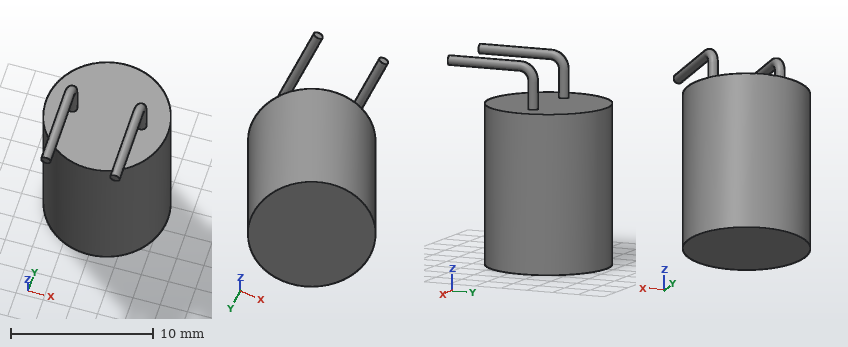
import cadquery as cq

body_diameter = 9.0
body_height = 11.5

lead_diameter = 0.7
lead_pitch = 5.08
lead_rise = 2.0
bend_radius = 1.0
lead_reach = 6.5

bend_end_z = body_height + lead_rise + bend_radius


def make_body():
    return cq.Workplane("XY").circle(body_diameter / 2).extrude(body_height)


def make_lead(x):
    """One lead: vertical stretch, quarter-circle bend, horizontal stretch."""
    rise = (
        cq.Workplane("XY", origin=(x, 0, body_height))
        .circle(lead_diameter / 2)
        .extrude(lead_rise)
    )
    bend = (
        cq.Workplane("XY", origin=(x, 0, body_height + lead_rise))
        .circle(lead_diameter / 2)
        .revolve(90, (0, -bend_radius, 0), (1, -bend_radius, 0))
    )
    reach = (
        cq.Workplane("XZ", origin=(x, -bend_radius, bend_end_z))
        .circle(lead_diameter / 2)
        .extrude(lead_reach - bend_radius)
    )
    return rise.union(bend).union(reach)


result = make_body()
for side in (-1, 1):
    result = result.union(make_lead(side * lead_pitch / 2))